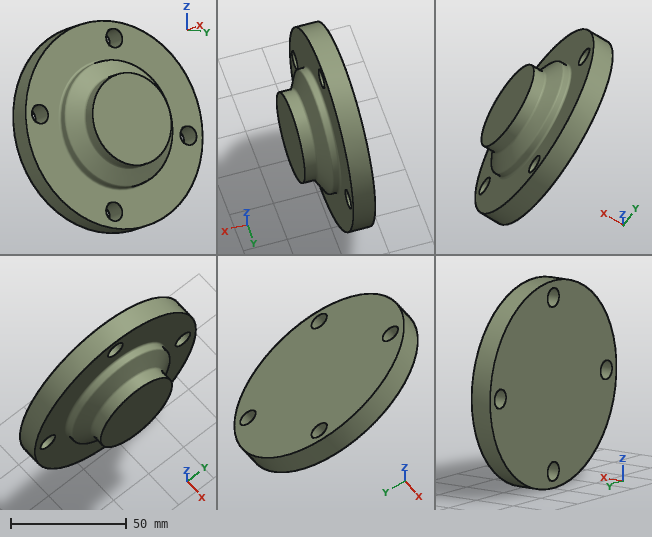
import cadquery as cq

flange_diameter = 92.0
flange_thickness = 10.0
total_length = 24.0

hub_radius = 28.1
hub_cylinder_end = 13.7
neck_radius = 20.4
cone_end = 18.0
hub_fillet = 1.0

hole_count = 4
hole_diameter = 8.4
bolt_circle_radius = 38.55


def turned_body():
    """Flange, hub, cone and neck as one revolved profile."""
    flange_radius = flange_diameter / 2
    profile = (
        cq.Workplane("XY")
        .moveTo(0, 0)
        .lineTo(0, flange_radius)
        .lineTo(flange_thickness, flange_radius)
        .lineTo(flange_thickness, hub_radius)
        .lineTo(hub_cylinder_end, hub_radius)
        .lineTo(cone_end, neck_radius)
        .lineTo(total_length, neck_radius)
        .lineTo(total_length, 0)
        .close()
    )
    return profile.revolve(360, (0, 0, 0), (1, 0, 0))


def round_circle(body, x, radius, fillet):
    """Round the circular edge of the given radius that lies at x."""
    margin = 0.05
    reach = radius + margin
    selector = cq.selectors.BoxSelector(
        (x - margin, -reach, -reach), (x + margin, reach, reach), boundingbox=True
    )
    return body.edges("%CIRCLE").edges(selector).fillet(fillet)


def bolt_holes():
    """Cylinders through the flange, on the Y and Z axes."""
    return (
        cq.Workplane("YZ")
        .polarArray(bolt_circle_radius, 0, 360, hole_count)
        .circle(hole_diameter / 2)
        .extrude(flange_thickness)
    )


body = turned_body()
body = round_circle(body, flange_thickness, hub_radius, hub_fillet)
body = round_circle(body, hub_cylinder_end, hub_radius, hub_fillet)
body = round_circle(body, cone_end, neck_radius, hub_fillet)
result = body.cut(bolt_holes())